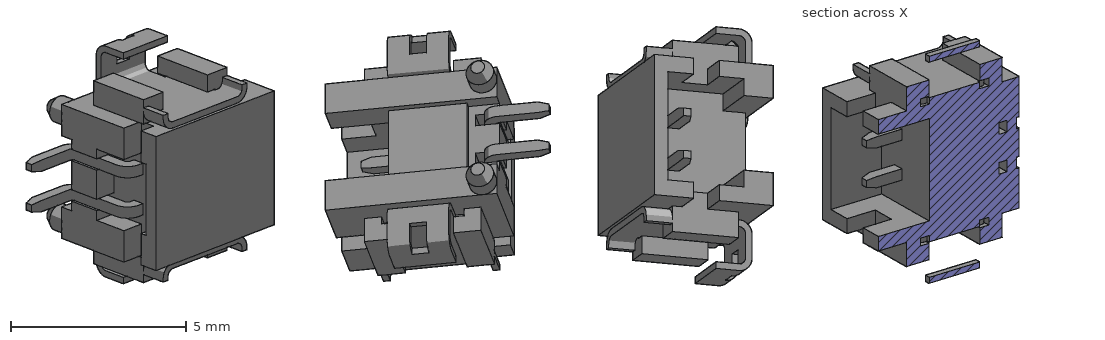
import cadquery as cq


HEIGHT = 3.605
LENGTH = 5.0
HALF_WIDTH = 2.07
TAIL_BLOCK_HEIGHT = 2.51
TAIL_WALL_Y = 0.71
RIM_X = 3.0
RIM_Y = 0.2
RIM_NOTCH_X = 3.195
MATING_SLOT_X = (1.64, 2.42)
MATING_SLOT_Y = 4.0

OPENING_HALF_WIDTH = 1.1
MID_FACE_X = 0.2
MID_FACE_Y = (0.91, 3.195)
TAIL_FACE_X = 0.41
TAIL_POCKET_X = 1.415
SOCKET_X = (0.89, RIM_NOTCH_X)
SOCKET_HALF_WIDTH = 1.6

PEG_RADIUS = 0.4
PEG_TIP_RADIUS = 0.2
PEG_LENGTH = 0.795
PEG_TAPER = 0.315
PEG_Y = PEG_RADIUS
PEG_Z = HALF_WIDTH - PEG_RADIUS

PIN_THICKNESS = 0.36
PIN_WIDTH = 0.35
PIN_TIP_SIZE = 0.22
PIN_TAPER = 0.31
PIN_PITCH = 1.25
PIN_INNER_BEND = 0.1
PIN_OUTER_BEND = PIN_INNER_BEND + PIN_THICKNESS
PIN_TAIL_Y = -1.5
PIN_CONTACT_Y = 4.405
PIN_CROSS_Y = 0.085
PIN_TOP_X = 2.575

SHEET = 0.2
CLIP_INNER_BEND = SHEET
CLIP_OUTER_BEND = 2 * SHEET
CLIP_TOP_Z = 3.575
CLIP_ARM_X = 1.095
CLIP_Y = (1.4, 3.195)
WINDOW_Y = (2.05, 2.545)
WINDOW_Z = 2.78
PLATE_SHOULDER_X = 1.0
PLATE_Y = (1.09, 3.495)
PLATE_END_X = 3.495
CURL_Y = (0.6, 4.0)
CURL_TOP_Z = 2.58

HOLDER_X = (0.69, 2.7)
HOLDER_WIDTH = 0.8
HOLDER_TOP_Z = 2.83
HOLDER_SLOT_TOP_Z = 2.3


def box(x, y, z):
    """Box between the two limits given for each axis."""
    size = (x[1] - x[0], y[1] - y[0], z[1] - z[0])
    return cq.Workplane("XY").box(*size, centered=False).translate((x[0], y[0], z[0]))


def centred_box(x, y, half_width, z=0):
    return box(x, y, (z - half_width, z + half_width))


def make_housing():
    slot_low, slot_high = MATING_SLOT_X
    outline = [
        (0, 0),
        (TAIL_BLOCK_HEIGHT, 0),
        (TAIL_BLOCK_HEIGHT, TAIL_WALL_Y),
        (RIM_X, TAIL_WALL_Y),
        (RIM_X, RIM_Y),
        (HEIGHT, RIM_Y),
        (HEIGHT, LENGTH),
        (slot_high, LENGTH),
        (slot_high, MATING_SLOT_Y),
        (slot_low, MATING_SLOT_Y),
        (slot_low, LENGTH),
        (0, LENGTH),
    ]
    housing = cq.Workplane("XY").polyline(outline).close().extrude(HALF_WIDTH, both=True)

    mid_start, mid_end = MID_FACE_Y
    socket_floor, socket_roof = SOCKET_X
    openings = [
        ((0, TAIL_FACE_X), (0, mid_start), OPENING_HALF_WIDTH),
        ((0, MID_FACE_X), (mid_start, mid_end), OPENING_HALF_WIDTH),
        ((0, socket_floor), (mid_end, LENGTH), OPENING_HALF_WIDTH),
        ((socket_floor, socket_roof), (mid_end, LENGTH), SOCKET_HALF_WIDTH),
        ((TAIL_POCKET_X, RIM_NOTCH_X), (0, TAIL_WALL_Y), OPENING_HALF_WIDTH),
    ]
    for x, y, half_width in openings:
        housing = housing.cut(centred_box(x, y, half_width))
    return housing


def make_peg():
    outline = [
        (0, 0),
        (0, PEG_RADIUS),
        (PEG_TAPER - PEG_LENGTH, PEG_RADIUS),
        (-PEG_LENGTH, PEG_TIP_RADIUS),
        (-PEG_LENGTH, 0),
    ]
    peg = cq.Workplane("XY").polyline(outline).close().revolve(360, (0, 0, 0), (1, 0, 0))
    return peg.translate((0, PEG_Y, PEG_Z))


def make_pin_tip(centre_x, base_y, direction):
    """Square tip that tapers along Y; direction is the sign of Y it points to."""
    plane = cq.Plane(origin=(centre_x, base_y, 0), xDir=(1, 0, 0), normal=(0, direction, 0))
    return (
        cq.Workplane(plane)
        .rect(PIN_THICKNESS, PIN_WIDTH)
        .workplane(offset=PIN_TAPER)
        .rect(PIN_TIP_SIZE, PIN_TIP_SIZE)
        .loft()
    )


def make_pin():
    """U-shaped pin: tail leg at x = 0, cross piece along X, contact leg into the socket."""
    tail_end = PIN_TAIL_Y + PIN_TAPER
    contact_end = PIN_CONTACT_Y - PIN_TAPER
    cross_back = PIN_CROSS_Y + PIN_THICKNESS
    contact_x = PIN_TOP_X - PIN_THICKNESS
    bent_wire = (
        cq.Workplane("XY")
        .moveTo(0, tail_end)
        .lineTo(PIN_THICKNESS, tail_end)
        .lineTo(PIN_THICKNESS, PIN_CROSS_Y - PIN_INNER_BEND)
        .radiusArc((PIN_THICKNESS + PIN_INNER_BEND, PIN_CROSS_Y), PIN_INNER_BEND)
        .lineTo(PIN_TOP_X - PIN_OUTER_BEND, PIN_CROSS_Y)
        .radiusArc((PIN_TOP_X, PIN_CROSS_Y + PIN_OUTER_BEND), -PIN_OUTER_BEND)
        .lineTo(PIN_TOP_X, contact_end)
        .lineTo(contact_x, contact_end)
        .lineTo(contact_x, cross_back + PIN_INNER_BEND)
        .radiusArc((contact_x - PIN_INNER_BEND, cross_back), PIN_INNER_BEND)
        .lineTo(PIN_OUTER_BEND, cross_back)
        .radiusArc((0, cross_back - PIN_OUTER_BEND), -PIN_OUTER_BEND)
        .close()
        .extrude(PIN_WIDTH / 2, both=True)
    )
    return (
        bent_wire.union(make_pin_tip(PIN_THICKNESS / 2, tail_end, -1))
        .union(make_pin_tip(PIN_TOP_X - PIN_THICKNESS / 2, contact_end, 1))
    )


def make_holders():
    """Pair of blocks on the +Z side, slotted underneath for the clip plate."""
    low, high = CURL_Y
    z = (HALF_WIDTH, HOLDER_TOP_Z)
    holders = box(HOLDER_X, (low, low + HOLDER_WIDTH), z)
    holders = holders.union(box(HOLDER_X, (high - HOLDER_WIDTH, high), z))
    return holders.cut(box(HOLDER_X, PLATE_Y, (HALF_WIDTH, HOLDER_SLOT_TOP_Z)))


def make_clip_hook():
    """C-shaped soldering hook with a window through its outer bend."""
    inner_low = HALF_WIDTH + SHEET
    inner_high = CLIP_TOP_Z - SHEET
    width = CLIP_Y[1] - CLIP_Y[0]
    hook = (
        cq.Workplane("XZ", origin=(0, CLIP_Y[1], 0))
        .moveTo(PLATE_SHOULDER_X, HALF_WIDTH)
        .lineTo(CLIP_OUTER_BEND, HALF_WIDTH)
        .radiusArc((0, HALF_WIDTH + CLIP_OUTER_BEND), CLIP_OUTER_BEND)
        .lineTo(0, CLIP_TOP_Z - CLIP_OUTER_BEND)
        .radiusArc((CLIP_OUTER_BEND, CLIP_TOP_Z), CLIP_OUTER_BEND)
        .lineTo(CLIP_ARM_X, CLIP_TOP_Z)
        .lineTo(CLIP_ARM_X, inner_high)
        .lineTo(CLIP_OUTER_BEND, inner_high)
        .radiusArc((SHEET, inner_high - CLIP_INNER_BEND), -CLIP_INNER_BEND)
        .lineTo(SHEET, inner_low + CLIP_INNER_BEND)
        .radiusArc((CLIP_OUTER_BEND, inner_low), -CLIP_INNER_BEND)
        .lineTo(PLATE_SHOULDER_X, inner_low)
        .close()
        .extrude(width)
    )
    return hook.cut(box((0, CLIP_OUTER_BEND), WINDOW_Y, (WINDOW_Z, CLIP_TOP_Z)))


def make_clip_plate():
    """Flat plate on the housing with rounded shoulders; past the blocks its edges curl up."""
    plate = box((PLATE_SHOULDER_X, PLATE_END_X), PLATE_Y, (HALF_WIDTH, HALF_WIDTH + SHEET))
    plate = plate.edges("|Z and <X").fillet(SHEET)

    low, high = CURL_Y
    bend_z = HALF_WIDTH + CLIP_OUTER_BEND
    plate_top = HALF_WIDTH + SHEET
    curled = (
        cq.Workplane("YZ", origin=(HOLDER_X[1], 0, 0))
        .moveTo(low, CURL_TOP_Z)
        .lineTo(low, bend_z)
        .radiusArc((low + CLIP_OUTER_BEND, HALF_WIDTH), -CLIP_OUTER_BEND)
        .lineTo(high - CLIP_OUTER_BEND, HALF_WIDTH)
        .radiusArc((high, bend_z), -CLIP_OUTER_BEND)
        .lineTo(high, CURL_TOP_Z)
        .lineTo(high - SHEET, CURL_TOP_Z)
        .lineTo(high - SHEET, bend_z)
        .radiusArc((high - CLIP_OUTER_BEND, plate_top), CLIP_INNER_BEND)
        .lineTo(low + CLIP_OUTER_BEND, plate_top)
        .radiusArc((low + SHEET, bend_z), CLIP_INNER_BEND)
        .lineTo(low + SHEET, CURL_TOP_Z)
        .close()
        .extrude(PLATE_END_X - HOLDER_X[1])
    )
    return plate.union(curled)


result = make_housing()

pin = make_pin()
for side in (-1, 1):
    pin_z = side * PIN_PITCH / 2
    groove = centred_box((TAIL_FACE_X, TAIL_POCKET_X), (0, TAIL_WALL_Y), PIN_WIDTH / 2, pin_z)
    result = result.cut(groove).union(pin.translate((0, 0, pin_z)))

side_parts = make_holders().union(make_clip_plate()).union(make_clip_hook())
result = result.union(side_parts).union(side_parts.mirror("XY"))
peg = make_peg()
result = result.union(peg).union(peg.mirror("XY"))